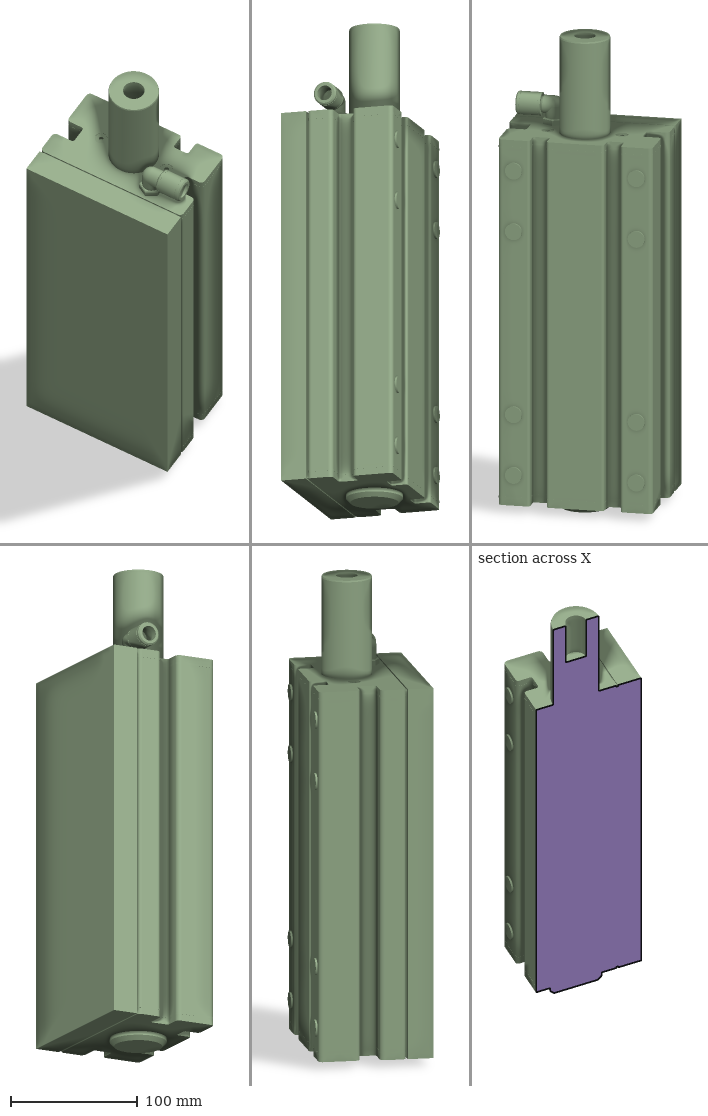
import cadquery as cq
import math


total_height = 386.0
plate_width = 130.0
total_depth = 93.0
body_length = 300.0
hub_height = 6.5
rod_length = total_height - body_length - hub_height

cap_thickness = 5.5
seal_thickness = 1.5
seal_overhang = 0.08

plate_front_y = -56.7
pad_height = 1.5

back_half_width = 62.5
base_half_width = plate_width / 2
waist_half_width = 47.0
back_y = plate_front_y + total_depth - pad_height
base_y = -35.0
waist_back_y = 1.5
waist_front_y = -14.3
slot_x = 30.0
slot_width = 13.5
slot_depth = 13.0
outer_radius = 3.5
slot_mouth_radius = 2.5
inner_radius = 2.0

spacer_thickness = 1.0
spacer_recess = 1.0
plate_back_y = base_y - spacer_thickness
spacer_half_width = base_half_width - outer_radius

rod_diameter = 40.0
rod_chamfer_height = 1.0
rod_chamfer_width = 0.5
bore_diameter = 17.0
bore_depth = 38.5
hub_diameter = 45.0
hub_chamfer = 3.5

screw_diameter = 10.0
screw_recess = 0.5
socket_size = 3.5
socket_depth = 3.0

pad_diameter = 13.5
pad_x = 49.8
pad_end_distances = (25.0, 75.0)

fitting_x = 29.7
fitting_y = -22.5
hex_width = 17.0
hex_height = 5.0
hex_chamfer = 0.8
elbow_height = 15.0
elbow_diameter = 14.5
elbow_reach = 8.5
neck_diameter = 13.0
sleeve_start = 10.0
sleeve_end = 30.0
sleeve_diameter = 18.5
sleeve_end_chamfer = 1.0
groove_diameter = 18.0
groove_width = 0.8
groove_starts = (11.5, 26.2)
tube_bore_diameter = 12.0
tube_bore_depth = 15.5

hex_sides = 6
position_tolerance = 0.05


def vertical_box(x_min, x_max, y_min, y_max, end_gap=0):
    """Box along the body, stopping end_gap short of both body ends."""
    return (
        cq.Workplane("XY")
        .box(x_max - x_min, y_max - y_min, body_length - 2 * end_gap, centered=False)
        .translate((x_min, y_min, end_gap))
    )


def edges_at(solid, corners):
    """Vertical edges of the solid that stand on the given (x, y) corners."""
    edges = []
    for edge in solid.edges("|Z").vals():
        centre = edge.Center()
        distances = [math.hypot(centre.x - x, centre.y - y) for x, y in corners]
        if min(distances) < position_tolerance:
            edges.append(edge)
    return solid.newObject(edges)


def mirrored(corners):
    """The corners together with their mirror images across X = 0."""
    return corners + [(-x, y) for x, y in corners]


def make_body():
    body = vertical_box(-waist_half_width, waist_half_width, base_y, back_y)
    body = body.union(vertical_box(-back_half_width, back_half_width, waist_back_y, back_y))
    body = body.union(vertical_box(-base_half_width, base_half_width, base_y, waist_front_y))

    slot_inner = slot_x - slot_width / 2
    slot_outer = slot_x + slot_width / 2
    slot_floor = back_y - slot_depth
    for x_min, x_max in ((slot_inner, slot_outer), (-slot_outer, -slot_inner)):
        body = body.cut(vertical_box(x_min, x_max, slot_floor, back_y))

    outer = [(back_half_width, back_y), (back_half_width, waist_back_y)]
    outer += [(base_half_width, waist_front_y), (base_half_width, base_y)]
    mouth = [(slot_inner, back_y), (slot_outer, back_y)]
    inner = [(slot_inner, slot_floor), (slot_outer, slot_floor)]
    inner += [(waist_half_width, waist_back_y), (waist_half_width, waist_front_y)]
    for corners, radius in (
        (outer, outer_radius),
        (mouth, slot_mouth_radius),
        (inner, inner_radius),
    ):
        body = edges_at(body, mirrored(corners)).fillet(radius)
    return body


def make_seals(body):
    """Body outline grown slightly, one thin slice behind each end cap."""
    outline = body.faces("<Z").wires().toPending().offset2D(seal_overhang)
    seal = outline.extrude(seal_thickness, combine=False)
    low = seal.translate((0, 0, cap_thickness))
    high = seal.translate((0, 0, body_length - cap_thickness - seal_thickness))
    return low.union(high)


def make_rod():
    rod = cq.Workplane("XY", origin=(0, 0, body_length)).circle(rod_diameter / 2).extrude(rod_length)
    rod = rod.faces(">Z").chamfer(rod_chamfer_height, rod_chamfer_width)
    return rod.faces(">Z").workplane().hole(bore_diameter, bore_depth)


def make_hub():
    hub = cq.Workplane("XY").circle(hub_diameter / 2).extrude(-hub_height)
    return hub.faces("<Z").chamfer(hub_chamfer)


def make_pads():
    heights = []
    for distance in pad_end_distances:
        heights += [distance, body_length - distance]
    points = [(x, z) for x in (-pad_x, pad_x) for z in heights]
    return (
        cq.Workplane("XZ", origin=(0, back_y, 0))
        .pushPoints(points)
        .circle(pad_diameter / 2)
        .extrude(-pad_height)
    )


def cut_screws(solid):
    for x in (-slot_x, slot_x):
        top = cq.Workplane("XY", origin=(x, 0, body_length))
        solid = solid.cut(top.circle(screw_diameter / 2).extrude(-screw_recess))
        solid = solid.cut(top.polygon(hex_sides, socket_size, circumscribed=True).extrude(-socket_depth))
    return solid


def make_fitting():
    base = cq.Workplane("XY", origin=(fitting_x, fitting_y, body_length))
    elbow_z = body_length + elbow_height
    elbow_centre = (fitting_x, fitting_y, elbow_z)

    nut = base.polygon(hex_sides, hex_width, circumscribed=True).extrude(hex_height)
    nut = nut.faces(">Z").chamfer(hex_chamfer)
    fitting = nut.union(base.circle(elbow_diameter / 2).extrude(elbow_height))
    fitting = fitting.union(cq.Workplane("XY").sphere(elbow_diameter / 2).translate(elbow_centre))

    def horizontal_cylinder(start, length, diameter):
        plane = cq.Workplane("YZ", origin=(fitting_x + start, fitting_y, elbow_z))
        return plane.circle(diameter / 2).extrude(length)

    sleeve = horizontal_cylinder(sleeve_start, sleeve_end - sleeve_start, sleeve_diameter)
    sleeve = sleeve.faces(">X").chamfer(sleeve_end_chamfer)
    for start in groove_starts:
        groove = horizontal_cylinder(start, groove_width, sleeve_diameter)
        sleeve = sleeve.cut(groove.cut(horizontal_cylinder(start, groove_width, groove_diameter)))
    fitting = fitting.union(horizontal_cylinder(0, elbow_reach, elbow_diameter))
    fitting = fitting.union(horizontal_cylinder(0, sleeve_start, neck_diameter))
    fitting = fitting.union(sleeve)
    return fitting.cut(horizontal_cylinder(sleeve_end, -tube_bore_depth, tube_bore_diameter))


body = make_body()
spacer = vertical_box(-spacer_half_width, spacer_half_width, plate_back_y, base_y, spacer_recess)
plate = vertical_box(-base_half_width, base_half_width, plate_front_y, plate_back_y)
result = body.union(make_seals(body))
for piece in (spacer, plate, make_rod(), make_hub(), make_pads()):
    result = result.union(piece)
result = cut_screws(result)
result = result.union(make_fitting())